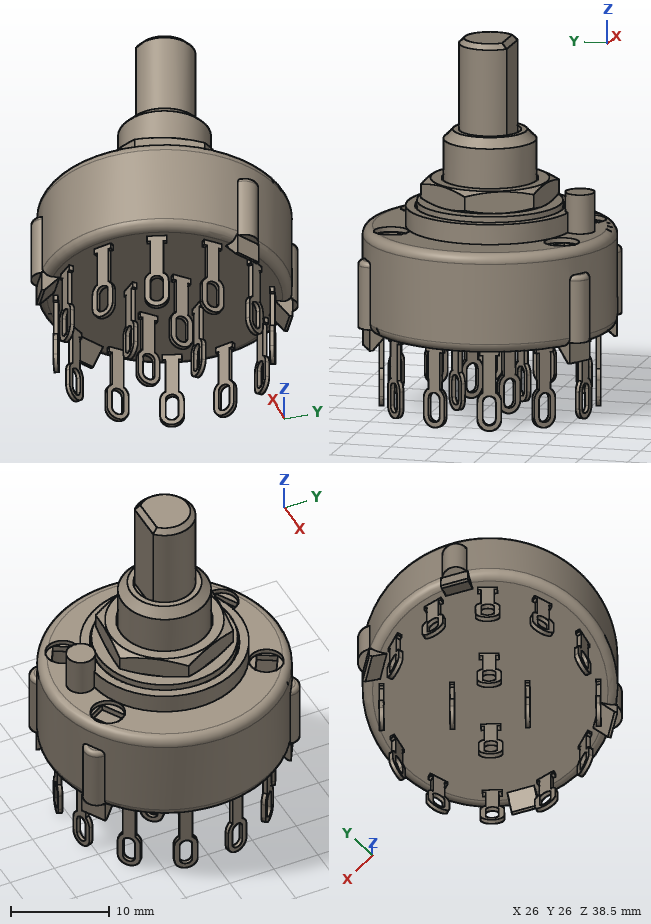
import cadquery as cq
import math


overall_height = 38.5

body_diameter = 26.0
body_height = 10.4
body_edge_radius = 1.0
body_wall = 1.15
cavity_diameter = body_diameter - 2 * body_edge_radius
flange_diameter = 17.2
flange_top = 12.47
flange_recess_diameter = 15.3
flange_recess_depth = 0.3

washer_diameter = 14.9
washer_top = 13.0
nut_across_corners = 14.25
nut_top = 15.35
nut_turn = -6
nut_face_diameter = 12.13
nut_chamfer_height = 0.45
nut_bore_diameter = 9.85

bushing_diameter = 9.5
bushing_top = 20.45
bushing_chamfer = 0.95
shaft_diameter = 6.35
shaft_top = 30.0
shaft_flat_offset = 2.35
shaft_chamfer = 0.55
shaft_bore_depth = 0.95

pin_diameter = 3.0
pin_offset = 9.5
pin_top = 14.48

leg_angles = [60, 120, 240, 300]
window_diameter = 3.55
window_center_radius = 10.4
window_depth = 0.5
window_slot_width = 2.8
window_slot_length = math.sqrt(window_diameter**2 - window_slot_width**2)
rib_diameter = 2.85
rib_center_radius = 12.4
rib_bottom = 0.45
rib_top = 7.5
rib_top_radius = 0.5
hook_outer_radius = 13.0
hook_drop = 1.7
hook_root = 1.85
hook_tip = 0.3

terminal_drop = overall_height - shaft_top
terminal_thickness = 0.45
terminal_embed = 0.4
outer_terminal_count = 12
outer_terminal_radius = 11.05
inner_terminal_count = 4
inner_terminal_radius = 3.85
collar_width = 2.0
collar_drop = 0.6
stem_width = 1.35
eye_width = 2.45
eye_length = 4.25
eye_slot_width = 1.3
eye_slot_length = 3.08


def disc(diameter, bottom, top):
    return cq.Workplane("XY").workplane(offset=bottom).circle(diameter / 2).extrude(top - bottom)


def make_body():
    body = disc(body_diameter, 0, body_height).edges().fillet(body_edge_radius)
    flange = disc(flange_diameter, body_height - body_edge_radius, flange_top)
    recess = disc(flange_recess_diameter, flange_top - flange_recess_depth, flange_top)
    return body.union(flange).cut(recess)


def make_nut():
    """Hexagonal nut whose corners are turned off by a cone at both ends."""
    corner_radius = nut_across_corners / 2
    face_radius = nut_face_diameter / 2
    hexagon = (
        cq.Workplane("XY")
        .workplane(offset=washer_top)
        .polygon(6, nut_across_corners)
        .circle(nut_bore_diameter / 2)
        .extrude(nut_top - washer_top)
        .rotate((0, 0, 0), (0, 0, 1), nut_turn)
    )
    turned_blank = (
        cq.Workplane("XZ")
        .moveTo(0, washer_top)
        .lineTo(face_radius, washer_top)
        .lineTo(corner_radius, washer_top + nut_chamfer_height)
        .lineTo(corner_radius, nut_top - nut_chamfer_height)
        .lineTo(face_radius, nut_top)
        .lineTo(0, nut_top)
        .close()
        .revolve(360, (0, 0, 0), (0, 1, 0))
    )
    return hexagon.intersect(turned_blank)


def make_bushing():
    """Bushing whose mouth is bored to the full shaft diameter."""
    bushing = disc(bushing_diameter, body_height, bushing_top).faces(">Z").chamfer(bushing_chamfer)
    return bushing.cut(disc(shaft_diameter, bushing_top - shaft_bore_depth, bushing_top))


def make_shaft():
    """D-shaped shaft with its flat on the -Y side, seated in the bushing bore."""
    shaft_bottom = bushing_top - shaft_bore_depth
    flat_cutter = (
        cq.Workplane("XY")
        .workplane(offset=shaft_bottom)
        .center(0, -shaft_flat_offset - shaft_diameter / 2)
        .rect(shaft_diameter, shaft_diameter)
        .extrude(shaft_top - shaft_bottom)
    )
    shaft = disc(shaft_diameter, shaft_bottom, shaft_top).cut(flat_cutter)
    return shaft.faces(">Z").chamfer(shaft_chamfer)


def make_window(angle):
    """Round sink in the body top, opened into the cavity by a rectangular slot."""
    sink = disc(window_diameter, body_height - window_depth, body_height)
    slot = (
        cq.Workplane("XY")
        .workplane(offset=body_height - body_wall)
        .rect(window_slot_length, window_slot_width)
        .extrude(body_wall)
    )
    window = sink.union(slot).translate((window_center_radius, 0, 0))
    return window.rotate((0, 0, 0), (0, 0, 1), angle)


def make_leg(angle):
    """Half-round rib on the body side with a tapered hook below it."""
    rib = disc(rib_diameter, rib_bottom, rib_top).faces(">Z").edges().fillet(rib_top_radius)
    rib = rib.translate((rib_center_radius, 0, 0))
    hook = (
        cq.Workplane("XZ")
        .moveTo(hook_outer_radius, -hook_drop)
        .lineTo(hook_outer_radius, rib_bottom)
        .lineTo(hook_outer_radius - hook_root, rib_bottom)
        .lineTo(hook_outer_radius - hook_root, 0)
        .lineTo(hook_outer_radius - hook_tip, -hook_drop)
        .close()
        .extrude(rib_diameter / 2, both=True)
    )
    return rib.union(hook).rotate((0, 0, 0), (0, 0, 1), angle)


def make_terminal(radius, angle):
    """Flat solder lug: collar, narrow stem and a slotted eye, facing outward."""
    eye_center = -terminal_drop + eye_length / 2
    plate = cq.Workplane("YZ").workplane(offset=radius - terminal_thickness / 2)
    collar_height = collar_drop + terminal_embed
    collar = (
        plate.center(0, terminal_embed - collar_height / 2)
        .rect(collar_width, collar_height)
        .extrude(terminal_thickness)
    )
    stem_height = terminal_embed - eye_center
    stem = (
        plate.center(0, terminal_embed - stem_height / 2)
        .rect(stem_width, stem_height)
        .extrude(terminal_thickness)
    )
    eye = plate.center(0, eye_center).slot2D(eye_length, eye_width, 90).extrude(terminal_thickness)
    eye_slot = (
        plate.center(0, eye_center)
        .slot2D(eye_slot_length, eye_slot_width, 90)
        .extrude(terminal_thickness)
    )
    lug = collar.union(stem).union(eye).cut(eye_slot)
    return lug.rotate((0, 0, 0), (0, 0, 1), angle)


def add_terminal_ring(part, count, radius):
    pitch = 360 / count
    for index in range(count):
        part = part.union(make_terminal(radius, (index + 0.5) * pitch))
    return part


result = make_body()
for leg_angle in leg_angles:
    result = result.union(make_leg(leg_angle))
result = result.cut(disc(cavity_diameter, body_wall, body_height - body_wall))
for leg_angle in leg_angles:
    result = result.cut(make_window(leg_angle))

washer = disc(washer_diameter, flange_top - flange_recess_depth, washer_top)
pin = disc(pin_diameter, body_height - body_edge_radius, pin_top).translate((0, -pin_offset, 0))
for piece in [washer, make_nut(), make_bushing(), make_shaft(), pin]:
    result = result.union(piece)

result = add_terminal_ring(result, outer_terminal_count, outer_terminal_radius)
result = add_terminal_ring(result, inner_terminal_count, inner_terminal_radius)